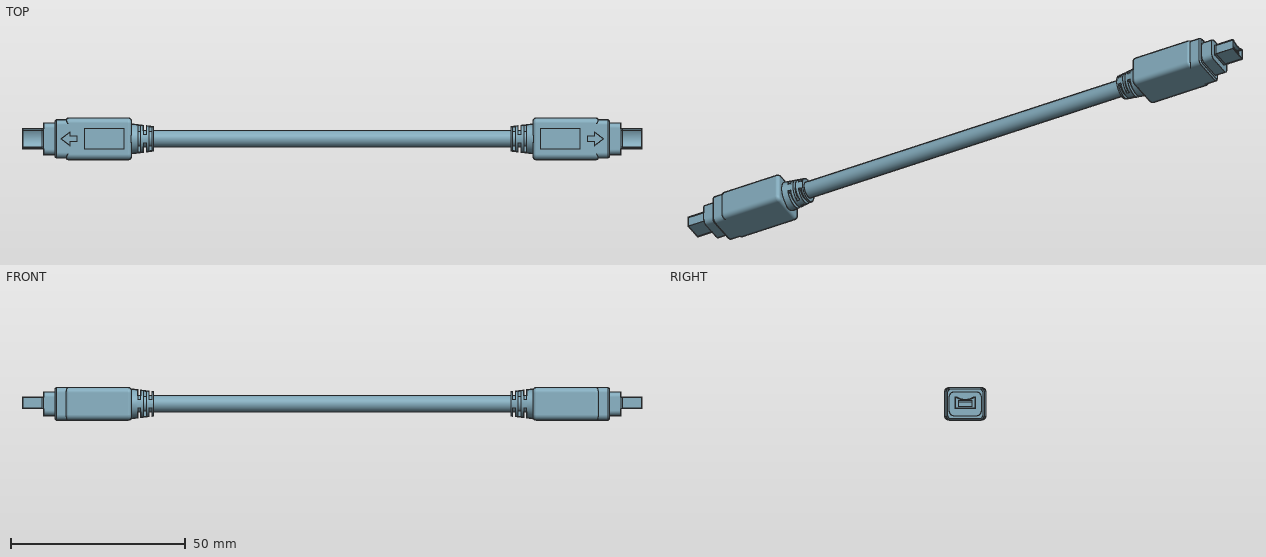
import cadquery as cq

TOTAL_LENGTH = 177.3
HALF_LENGTH = TOTAL_LENGTH / 2

NOSE_START = 6.0
SHOULDER_START = 9.2
GRIP_START = 12.4
GRIP_END = 31.2
RELIEF_END = 37.5

SHELL_WIDTH = 5.8
SHELL_HEIGHT = 3.3
SHELL_CENTER_Z = 0.25
SHELL_WALL = 0.15
EAR_WIDTH = 0.5
ROOF_DIP = 0.65
SHELL_CAVITY_DEPTH = 5.5

TONGUE_WIDTH = 4.0
TONGUE_HEIGHT = 1.7
TONGUE_CENTER_Z = 0.1
TONGUE_CHAMFER = 0.45
TONGUE_START = 0.7

NOSE_WIDTH = 9.2
NOSE_HEIGHT = 6.9
SHOULDER_WIDTH = 11.0
GRIP_WIDTH = 12.0
GRIP_HEIGHT = 9.4
CORNER_RADIUS = 1.5
SHOULDER_FRONT_CHAMFER = 0.45
GRIP_FRONT_FILLET = 0.8
GRIP_REAR_FILLET = 1.0

RELIEF_BASE_DIAMETER = 8.8
RELIEF_END_DIAMETER = 7.0
SLOT_COUNT = 3
SLOT_WIDTH = 0.8
SLOT_PITCH = 1.6
LAST_WALL = 0.5
WEB_HALF_THICKNESS = 1.2

MARK_DEPTH = 0.2
LABEL_START = 17.7
LABEL_LENGTH = 11.3
LABEL_WIDTH = 5.8
ARROW_TIP = 11.0
ARROW_SHOULDER = 13.6
ARROW_END = 15.6
ARROW_HEAD_HALF_WIDTH = 2.0
ARROW_STEM_HALF_WIDTH = 0.8

CABLE_DIAMETER = 4.8


def at_x(distance):
    """Plane across the cable, at a distance from the tip of the plug on the -X end."""
    return cq.Workplane("YZ", origin=(distance - HALF_LENGTH, 0, 0))


def block(start, end, width, height):
    """Box along X with its four long edges rounded."""
    box = at_x(start).rect(width, height).extrude(end - start)
    return box.edges("|X").fillet(CORNER_RADIUS)


def shell_outline():
    """Cross-section of the shell: a rectangle with two ears and a concave roof between them."""
    half_width = SHELL_WIDTH / 2
    top = SHELL_CENTER_Z + SHELL_HEIGHT / 2
    bottom = top - SHELL_HEIGHT
    ear_inner = half_width - EAR_WIDTH
    return (
        at_x(0)
        .moveTo(-half_width, bottom)
        .lineTo(half_width, bottom)
        .lineTo(half_width, top)
        .lineTo(ear_inner, top)
        .threePointArc((0, top - ROOF_DIP), (-ear_inner, top))
        .lineTo(-half_width, top)
        .close()
    )


def make_shell():
    shell = shell_outline().extrude(NOSE_START)
    cavity = shell_outline().offset2D(-SHELL_WALL).extrude(SHELL_CAVITY_DEPTH)
    tongue = (
        at_x(TONGUE_START)
        .center(0, TONGUE_CENTER_Z)
        .rect(TONGUE_WIDTH, TONGUE_HEIGHT)
        .extrude(NOSE_START - TONGUE_START)
    )
    tongue = tongue.faces("<X").edges(">Z").chamfer(TONGUE_CHAMFER)
    return shell.cut(cavity).union(tongue)


def grip_block():
    """Shoulder and wider grip, flush on top and bottom."""
    shoulder = block(SHOULDER_START, GRIP_END - GRIP_REAR_FILLET, SHOULDER_WIDTH, GRIP_HEIGHT)
    shoulder = shoulder.faces("<X").edges().chamfer(SHOULDER_FRONT_CHAMFER)
    grip = block(GRIP_START, GRIP_END, GRIP_WIDTH, GRIP_HEIGHT)
    grip = grip.faces("<X").edges().fillet(GRIP_FRONT_FILLET)
    grip = grip.faces(">X").edges().fillet(GRIP_REAR_FILLET)
    return shoulder.union(grip)


def relief_sleeve():
    """Tapered sleeve with slots, alternately open at top and bottom and at the two sides."""
    root = GRIP_END - GRIP_REAR_FILLET
    sleeve = (
        at_x(root)
        .circle(RELIEF_BASE_DIAMETER / 2)
        .workplane(offset=RELIEF_END - root)
        .circle(RELIEF_END_DIAMETER / 2)
        .loft()
    )
    span = 2 * RELIEF_BASE_DIAMETER
    slot_offset = WEB_HALF_THICKNESS + span / 2
    last_slot = RELIEF_END - LAST_WALL - SLOT_WIDTH / 2
    for index in range(SLOT_COUNT):
        middle = last_slot - index * SLOT_PITCH
        side_slot = index == 1
        for sign in (-1, 1):
            center = (sign * slot_offset, 0) if side_slot else (0, sign * slot_offset)
            slot = at_x(middle - SLOT_WIDTH / 2).center(*center).rect(span, span).extrude(SLOT_WIDTH)
            sleeve = sleeve.cut(slot)
    return sleeve


def top_marks():
    """Label panel and outward-pointing arrow, sunk into the top of the grip."""
    floor = cq.Workplane("XY", origin=(-HALF_LENGTH, 0, GRIP_HEIGHT / 2 - MARK_DEPTH))
    label_middle = LABEL_START + LABEL_LENGTH / 2
    label = floor.center(label_middle, 0).rect(LABEL_LENGTH, LABEL_WIDTH).extrude(MARK_DEPTH)
    arrow = floor.polyline(
        [
            (ARROW_TIP, 0),
            (ARROW_SHOULDER, ARROW_HEAD_HALF_WIDTH),
            (ARROW_SHOULDER, ARROW_STEM_HALF_WIDTH),
            (ARROW_END, ARROW_STEM_HALF_WIDTH),
            (ARROW_END, -ARROW_STEM_HALF_WIDTH),
            (ARROW_SHOULDER, -ARROW_STEM_HALF_WIDTH),
            (ARROW_SHOULDER, -ARROW_HEAD_HALF_WIDTH),
        ]
    )
    return label.union(arrow.close().extrude(MARK_DEPTH))


def make_cable():
    """Round cable that ends inside both housings, level with the rear of the grips."""
    return at_x(GRIP_END).circle(CABLE_DIAMETER / 2).extrude(TOTAL_LENGTH - 2 * GRIP_END)


def make_housing(cable):
    nose = block(NOSE_START, GRIP_START, NOSE_WIDTH, NOSE_HEIGHT)
    housing = nose.union(grip_block()).union(relief_sleeve())
    return housing.cut(top_marks()).cut(cable)


cable = make_cable()
shell = make_shell()
housing = make_housing(cable)

bodies = [cable.val()]
for turn in (0, 180):
    for part in (shell, housing):
        bodies.append(part.rotate((0, 0, 0), (0, 0, 1), turn).val())

result = cq.Compound.makeCompound(bodies)